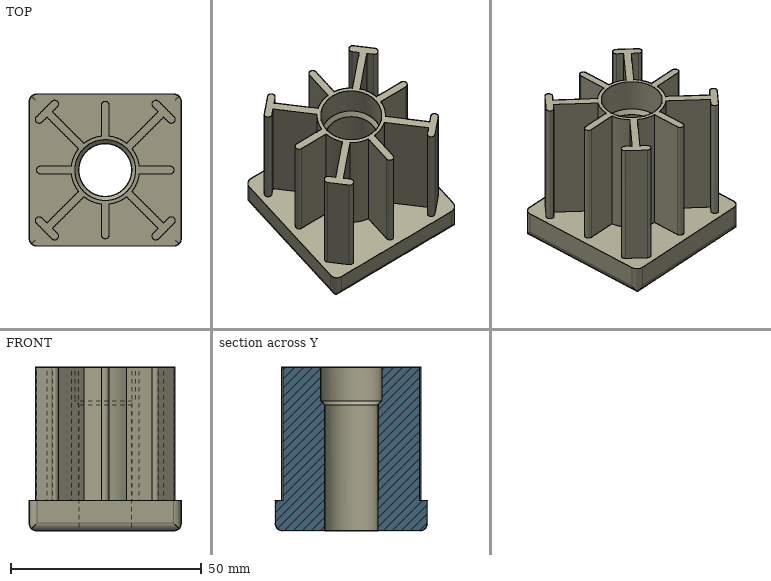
import cadquery as cq

base_side = 40.0
base_height = 8.0
total_height = 43.0
edge_radius = 2.0

tube_outer_diameter = 17.95
tube_bore_diameter = 16.0
base_hole_diameter = 13.85
bore_depth = 8.8
cone_height = 1.07

rib_thickness = 2.0
straight_rib_reach = 18.05
cap_distance = 21.65
cap_length = 7.75

insert_height = total_height - base_height


def rounded_base():
    """Square base with equal rounding on its corners and lower edges, meeting in mitres."""
    block = cq.Workplane("XY").box(base_side, base_side, base_height, centered=(True, True, False))
    base = block.edges("|Z").fillet(edge_radius)
    for direction in ("|X", "|Y"):
        rounded_block = block.faces("<Z").edges(direction).fillet(edge_radius)
        base = base.intersect(rounded_block)
    return base


def upright_slot(length, center_x, turn):
    """Upright wall with fully rounded ends."""
    return (
        cq.Workplane("XY", origin=(0, 0, base_height))
        .center(center_x, 0)
        .slot2D(length, rib_thickness, turn)
        .extrude(insert_height)
    )


def straight_rib():
    """Radial rib from the axis to a rounded tip."""
    length = straight_rib_reach + rib_thickness / 2
    return upright_slot(length, straight_rib_reach - length / 2, 0)


def corner_rib():
    """Radial rib carrying a crosswise cap at its outer end."""
    web = (
        cq.Workplane("XY", origin=(cap_distance / 2, 0, base_height))
        .rect(cap_distance, rib_thickness)
        .extrude(insert_height)
    )
    return web.union(upright_slot(cap_length, cap_distance, 90))


def stepped_bore():
    """Bore from the top, tapering down to the smaller hole through the base."""
    bore_radius = tube_bore_diameter / 2
    hole_radius = base_hole_diameter / 2
    cone_top = total_height - bore_depth
    cone_bottom = cone_top - cone_height
    profile = [
        (0, 0),
        (hole_radius, 0),
        (hole_radius, cone_bottom),
        (bore_radius, cone_top),
        (bore_radius, total_height),
        (0, total_height),
    ]
    return cq.Workplane("XZ").polyline(profile).close().revolve(360, (0, 0), (0, 1))


tube = (
    cq.Workplane("XY", origin=(0, 0, base_height))
    .circle(tube_outer_diameter / 2)
    .extrude(insert_height)
)

result = rounded_base().union(tube)
for angle in range(0, 360, 90):
    result = result.union(straight_rib().rotate((0, 0, 0), (0, 0, 1), angle))
    result = result.union(corner_rib().rotate((0, 0, 0), (0, 0, 1), angle + 45))

result = result.cut(stepped_bore())